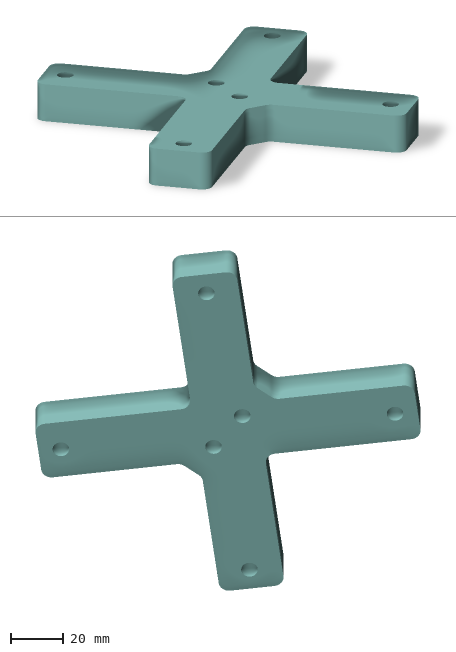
import cadquery as cq
import math

overall_span = 117.8
thickness = 15.0
arm_width = 25.0
corner_radius = 4.0
plate_length = 45.6
plate_width = 30.2
hole_diameter = 6.4
arm_hole_offset = 45.6
center_hole_spacing = 18.0

corner_center_reach = (overall_span / 2 - corner_radius) * math.sqrt(2)
arm_length = 2 * (corner_center_reach + 2 * corner_radius - arm_width / 2)


def diagonal_arm(angle):
    """Bar through the center, turned by angle about Z."""
    bar = cq.Workplane("XY").box(arm_length, arm_width, thickness, centered=(True, True, False))
    return bar.rotate((0, 0, 0), (0, 0, 1), angle)


plate = cq.Workplane("XY").box(plate_length, plate_width, thickness, centered=(True, True, False))
body = diagonal_arm(45).union(diagonal_arm(-45)).union(plate).clean()

body = body.edges("|Z").fillet(corner_radius)

hole_points = [(x * arm_hole_offset, y * arm_hole_offset) for x in (-1, 1) for y in (-1, 1)]
hole_points += [(side * center_hole_spacing / 2, 0) for side in (-1, 1)]
holes = cq.Workplane("XY").pushPoints(hole_points).circle(hole_diameter / 2).extrude(thickness)

result = body.cut(holes)